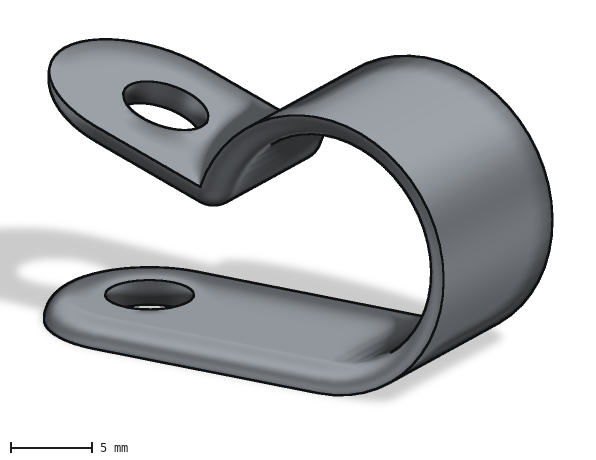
import cadquery as cq
import math

length = 31.25
width = 12.9
thickness = 1.6
loop_diameter = 17.8
hole_diameter = 5.4
upper_straight = 7.8
upper_slope = 19.1
upper_hole_distance = 6.7
bend_angle = 90.0

end_radius = width / 2
loop_radius = loop_diameter / 2
loop_center_x = length - loop_radius
lower_straight = loop_center_x - end_radius
corner_offset = thickness * math.sqrt(0.5)
flat_edge = end_radius - thickness
slope = math.radians(upper_slope)
bend_x = loop_center_x - loop_radius * math.cos(slope)
bend_z = loop_radius + loop_radius * math.sin(slope)


def rounded_half_side(section):
    """Draw from the outer edge to the inner face; the edge radius equals the strap thickness."""
    return section.lineTo(end_radius, 0).threePointArc(
        (flat_edge + corner_offset, corner_offset), (flat_edge, thickness)
    )


def strap_section():
    """Strap cross-section in the YZ plane, outer face at Z = 0 and inner face above it."""
    half = rounded_half_side(cq.Workplane("YZ"))
    return (
        half.lineTo(-flat_edge, thickness)
        .threePointArc((-flat_edge - corner_offset, corner_offset), (-end_radius, 0))
        .close()
    )


def flat_tab(straight, hole_distance):
    """Drilled tab along X, with its rounded end at -X and its straight run ending at X = 0."""
    run = strap_section().extrude(-straight)
    end = (
        rounded_half_side(cq.Workplane("XZ"))
        .lineTo(0, thickness)
        .close()
        .revolve(360, (0, 0), (0, 1))
        .translate((-straight, 0, 0))
    )
    hole = (
        cq.Workplane("XY")
        .center(-hole_distance, 0)
        .circle(hole_diameter / 2)
        .extrude(thickness)
    )
    return run.union(end).cut(hole)


def lower_tab():
    return flat_tab(lower_straight, lower_straight).translate((loop_center_x, 0, 0))


def loop():
    """Strap rolled up and back, ending on the radial line at the upper bend."""
    return (
        strap_section()
        .revolve(270 - upper_slope, (0, loop_radius), (-1, loop_radius))
        .translate((loop_center_x, 0, 0))
    )


def upper_tab():
    """Inverted tab and its bend, which turns about the sharp outer edge at the loop end."""
    bend = strap_section().revolve(bend_angle, (0, 0), (1, 0))
    return (
        flat_tab(upper_straight, upper_hole_distance)
        .union(bend)
        .mirror("XY")
        .rotate((0, 0, 0), (0, 1, 0), upper_slope)
        .translate((bend_x, 0, bend_z))
    )


result = lower_tab().union(loop()).union(upper_tab())